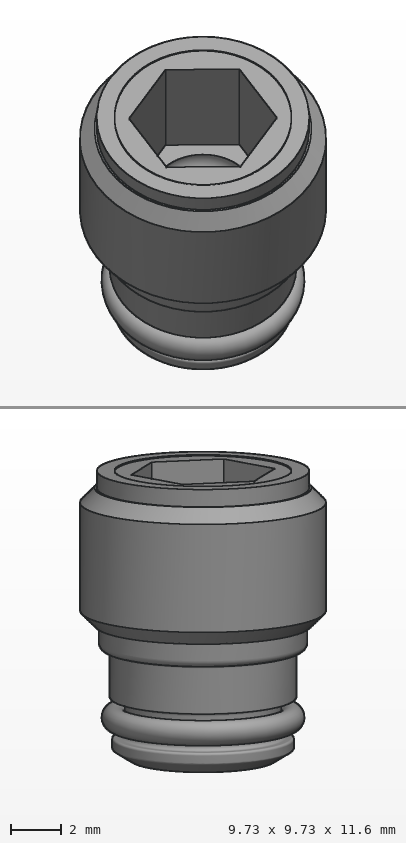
import cadquery as cq
import math

height = 11.6
body_radius = 9.73 / 2

collar_radius = 8.4 / 2
collar_bottom_z = 10.9
body_chamfer = 0.58
body_bottom_z = 5.4
flange_radius = 8.25 / 2
flange_bottom_z = 4.42
flange_round = 0.28

neck_radius = 7.4 / 2
neck_bottom_z = 2.48
neck_fillet = 0.09
neck_round = 0.06

groove_radius = 6.2 / 2
groove_fillet = 0.2
lip_radius = 7.2 / 2
lip_top_z = 0.9
lip_round = 0.1
end_radius = 5.77 / 2
end_chamfer_height = 0.45

ring_section_radius = 0.5
ring_outer_radius = 4.01
ring_centre_radius = ring_outer_radius - ring_section_radius
ring_centre_z = (neck_bottom_z + lip_top_z) / 2

recess_radius = 7.0 / 2
recess_depth = 0.05
hex_across_flats = 5.06
hex_floor_z = 6.96
pocket_radius = 4.06 / 2
pocket_round = 0.51
pocket_depth = pocket_round


def round_arc(profile, centre_r, centre_z, radius, end_r, end_z, mid_angle):
    """Add a round about a centre, passing through mid_angle in degrees."""
    angle = math.radians(mid_angle)
    middle = (centre_r + radius * math.cos(angle), centre_z + radius * math.sin(angle))
    return profile.threePointArc(middle, (end_r, end_z))


def turned_body():
    """Revolve the stepped outside, from the bottom end up to the collar."""
    p = cq.Workplane("XZ").lineTo(end_radius, 0).lineTo(lip_radius, end_chamfer_height)
    p = p.lineTo(lip_radius, lip_top_z - lip_round)
    p = round_arc(p, lip_radius - lip_round, lip_top_z - lip_round, lip_round,
                  lip_radius - lip_round, lip_top_z, 45)
    fillet_centre_r = groove_radius + groove_fillet
    p = p.lineTo(fillet_centre_r, lip_top_z)
    p = round_arc(p, fillet_centre_r, lip_top_z + groove_fillet, groove_fillet,
                  groove_radius, lip_top_z + groove_fillet, 225)
    p = p.lineTo(groove_radius, neck_bottom_z - groove_fillet)
    p = round_arc(p, fillet_centre_r, neck_bottom_z - groove_fillet, groove_fillet,
                  fillet_centre_r, neck_bottom_z, 135)
    p = p.lineTo(neck_radius - neck_round, neck_bottom_z)
    p = round_arc(p, neck_radius - neck_round, neck_bottom_z + neck_round, neck_round,
                  neck_radius, neck_bottom_z + neck_round, -45)
    p = p.lineTo(neck_radius, flange_bottom_z - neck_fillet)
    p = round_arc(p, neck_radius + neck_fillet, flange_bottom_z - neck_fillet, neck_fillet,
                  neck_radius + neck_fillet, flange_bottom_z, 135)
    p = p.lineTo(flange_radius - flange_round, flange_bottom_z)
    p = round_arc(p, flange_radius - flange_round, flange_bottom_z + flange_round, flange_round,
                  flange_radius, flange_bottom_z + flange_round, -45)
    p = p.lineTo(flange_radius, body_bottom_z)
    p = p.lineTo(body_radius - body_chamfer, body_bottom_z)
    p = p.lineTo(body_radius, body_bottom_z + body_chamfer)
    p = p.lineTo(body_radius, collar_bottom_z - body_chamfer)
    p = p.lineTo(body_radius - body_chamfer, collar_bottom_z)
    p = p.lineTo(collar_radius, collar_bottom_z).lineTo(collar_radius, height)
    body = p.lineTo(0, height).close().revolve(360, (0, 0, 0), (0, 1, 0))
    lip_corner = cq.selectors.BoxSelector(
        (-body_radius, -body_radius, end_chamfer_height - lip_round / 2),
        (body_radius, body_radius, end_chamfer_height + lip_round / 2),
    )
    return body.edges(lip_corner).edges("%CIRCLE").fillet(lip_round)


def sealing_ring():
    """Ring of round section seated in the groove."""
    depth = ring_centre_radius - groove_radius
    half_contact = math.sqrt(ring_section_radius**2 - depth**2)
    section = cq.Workplane("XZ").moveTo(groove_radius, ring_centre_z - half_contact)
    section = section.threePointArc((ring_outer_radius, ring_centre_z),
                                    (groove_radius, ring_centre_z + half_contact))
    section = section.lineTo(0, ring_centre_z + half_contact).lineTo(0, ring_centre_z - half_contact)
    return section.close().revolve(360, (0, 0, 0), (0, 1, 0))


def socket():
    """Material removed from the top: recess, hexagon and pocket."""
    recess = cq.Workplane("XY").workplane(offset=height - recess_depth).circle(recess_radius)
    recess = recess.extrude(recess_depth)
    hex_diameter = hex_across_flats / math.cos(math.pi / 6)
    hexagon = cq.Workplane("XY").workplane(offset=hex_floor_z).transformed(rotate=(0, 0, 90))
    hexagon = hexagon.polygon(6, hex_diameter).extrude(height - hex_floor_z)
    floor_z = hex_floor_z - pocket_depth
    floor_radius = pocket_radius - pocket_round
    pocket = cq.Workplane("XZ").moveTo(0, hex_floor_z).lineTo(0, floor_z).lineTo(floor_radius, floor_z)
    pocket = round_arc(pocket, floor_radius, hex_floor_z, pocket_round, pocket_radius, hex_floor_z, -45)
    pocket = pocket.close().revolve(360, (0, 0, 0), (0, 1, 0))
    return recess.union(hexagon).union(pocket)


result = turned_body().union(sealing_ring()).cut(socket())